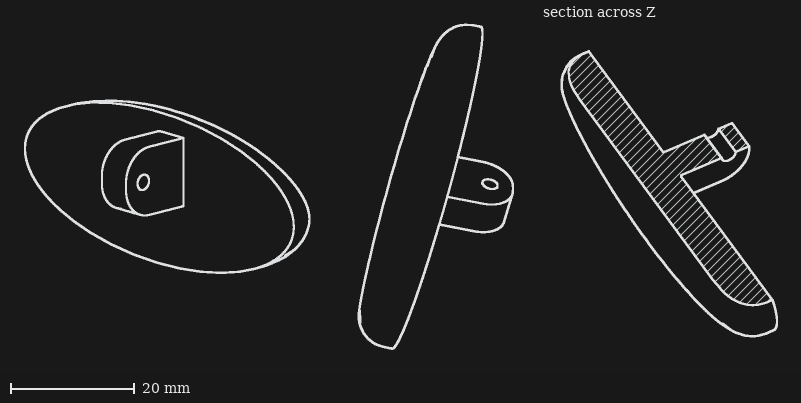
import cadquery as cq

plate_length = 63.5
plate_height = 25.4
plate_thickness = 6.35
rim_thickness = 1.35
rounding = plate_thickness - rim_thickness

tab_width = 5.7
tab_height = 11.4
tab_reach = 12.7
tab_top = 9.5
tab_corner_radius = 5.1
hole_diameter = 2.55
hole_from_tip = 3.8


def make_plate():
    """Elliptical plate with its outer edge rounded down to a thin rim."""
    blank = (
        cq.Workplane("XZ")
        .ellipse(plate_length / 2, plate_height / 2)
        .extrude(-plate_thickness)
    )
    return blank.faces(">Y").edges().fillet(rounding)


def make_tab():
    """Tab with two rounded tip corners and a pin hole along X."""
    tab_middle = tab_top - tab_height / 2
    tab = (
        cq.Workplane("YZ")
        .center(-tab_reach / 2, tab_middle)
        .rect(tab_reach, tab_height)
        .extrude(tab_width)
        .faces("<Y")
        .edges("|X")
        .fillet(tab_corner_radius)
    )
    hole = (
        cq.Workplane("YZ")
        .center(hole_from_tip - tab_reach, tab_middle)
        .circle(hole_diameter / 2)
        .extrude(tab_width)
    )
    return tab.cut(hole)


result = make_plate().union(make_tab())